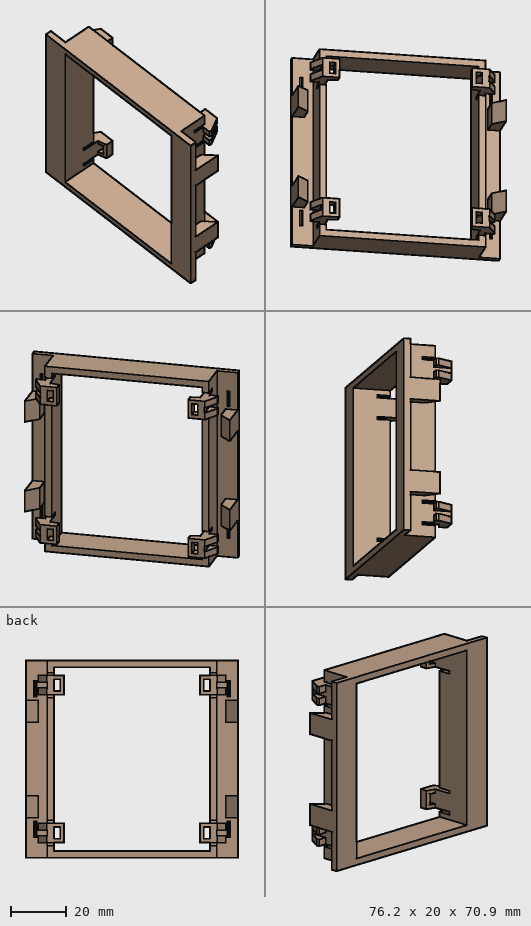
import cadquery as cq

plate_width = 76.25
plate_height = 70.9
plate_thickness = 2.5

wall = 2.5
collar_width = 60.9
collar_depth = 13.95
opening_width = collar_width - 2 * wall
opening_height = plate_height - 2 * wall

arm_center_z = 26.5
arm_height = 7.0
arm_depth = 20.0
slot_height = 1.0
slot_floor_y = 9.1

barb_reach = 3.3
barb_underside_y = 13.3
barb_corner_y = 14.3
barb_top_reach = 0.15
barb_gap = 1.9

lug_reach = 3.6
lug_root_y = 16.1
lug_tip_y = 17.0
window_reach = 2.1
window_height = 4.1

tab_center_z = 17.15
tab_height = 8.0
tab_thickness = 4.4
tab_depth = 13.5
tab_bevel_y = 9.1

ridge_center_z = 25.25
ridge_length = 5.7
ridge_inset = 3.35
ridge_rise = 0.495
ridge_half_width = ridge_rise

half_plate = plate_width / 2
arm_outer_x = collar_width / 2
arm_inner_x = opening_width / 2


def block(x_range, y_range, z_center, height):
    """Box between two X and two Y positions, centred on z_center."""
    x_size = x_range[1] - x_range[0]
    y_size = y_range[1] - y_range[0]
    center = (sum(x_range) / 2, sum(y_range) / 2, z_center)
    return cq.Workplane("XY").box(x_size, y_size, height).translate(center)


def prism(points, z_center, height):
    """Outline in XY extruded along Z, centred on z_center."""
    return (
        cq.Workplane("XY", origin=(0, 0, z_center))
        .polyline(points)
        .close()
        .extrude(height / 2, both=True)
    )


def make_frame():
    """Plate and collar with the opening through both."""
    plate = block((-half_plate, half_plate), (0, plate_thickness), 0, plate_height)
    collar = block((-arm_outer_x, arm_outer_x), (0, collar_depth), 0, plate_height)
    opening = block((-arm_inner_x, arm_inner_x), (0, collar_depth), 0, opening_height)
    return plate.union(collar).cut(opening)


def make_slots():
    """Two slots above and below one arm, through the +X wall."""
    offset = (arm_height + slot_height) / 2
    x_range = (arm_inner_x, arm_outer_x)
    y_range = (slot_floor_y, collar_depth)
    upper = block(x_range, y_range, arm_center_z + offset, slot_height)
    lower = block(x_range, y_range, arm_center_z - offset, slot_height)
    return upper.union(lower)


def make_arm():
    """Snap arm with its split outer barb and windowed inner lug."""
    shank = block((arm_inner_x, arm_outer_x), (slot_floor_y, arm_depth), arm_center_z, arm_height)

    barb_tip_x = arm_outer_x + barb_reach
    barb_outline = [
        (arm_outer_x, barb_underside_y),
        (barb_tip_x, barb_underside_y),
        (barb_tip_x, barb_corner_y),
        (arm_outer_x + barb_top_reach, arm_depth),
        (arm_outer_x, arm_depth),
    ]
    gap = block((arm_outer_x, barb_tip_x), (barb_underside_y, arm_depth), arm_center_z, barb_gap)
    barb = prism(barb_outline, arm_center_z, arm_height).cut(gap)

    lug_tip_x = arm_inner_x - lug_reach
    lug_outline = [
        (arm_inner_x, lug_root_y),
        (lug_tip_x, lug_tip_y),
        (lug_tip_x, arm_depth),
        (arm_inner_x, arm_depth),
    ]
    window = block(
        (arm_inner_x - window_reach, arm_inner_x), (lug_root_y, arm_depth), arm_center_z, window_height
    )
    lug = prism(lug_outline, arm_center_z, arm_height).cut(window)

    return shank.union(barb).union(lug)


def make_tab():
    """Bevelled tab flush with the plate's side edge."""
    outline = [
        (half_plate, 0),
        (half_plate, tab_depth),
        (half_plate - tab_thickness, tab_bevel_y),
        (half_plate - tab_thickness, 0),
    ]
    return prism(outline, tab_center_z, tab_height)


def make_ridge():
    """Triangular ridge on the back face of the plate."""
    ridge_x = half_plate - ridge_inset
    outline = [
        (ridge_x - ridge_half_width, plate_thickness),
        (ridge_x, plate_thickness + ridge_rise),
        (ridge_x + ridge_half_width, plate_thickness),
    ]
    return prism(outline, ridge_center_z, ridge_length)


def four_corners(feature):
    """Repeat a +X, +Z feature by mirroring it across both mid-planes."""
    pair = feature.union(feature.mirror("XY"))
    return pair.union(pair.mirror("YZ"))


result = make_frame().cut(four_corners(make_slots()))
for corner_feature in (make_arm(), make_tab(), make_ridge()):
    result = result.union(four_corners(corner_feature))